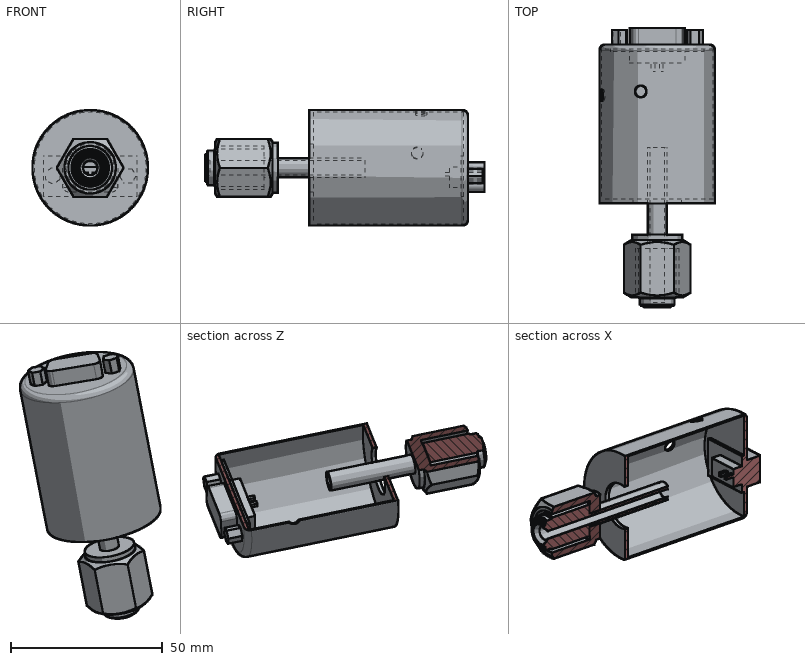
import cadquery as cq
import math

OVERALL_LENGTH = 92.1

HOUSING_RADIUS = 19.1
HOUSING_LENGTH = 52.3
REAR_EDGE_FILLET = 2.0
END_WALL = 1.5
SIDE_WALL = 0.6
MOUTH_RADIUS = 7.9

RADIAL_HOLE_DIAMETER = 3.9
RADIAL_HOLES = [
    (106.8, 15.5),
    (164.9, 16.8),
]

CONNECTOR_Z = -3.0
SHELL_LENGTH = 5.4
SHELL_WIDTH = 18.15
SHELL_HEIGHT = 9.9
SHELL_CORNER_RADIUS = 2.1
SHELL_SLANT = 8.0
STANDOFF_LENGTH = 4.8
STANDOFF_ACROSS_FLATS = 4.7
STANDOFF_SPACING = 24.8
STANDOFF_Z = -2.7
LEFT_STANDOFF_TURN = 37.0
RIGHT_STANDOFF_TURN = 0.0

FLANGE_WIDTH = 30.8
FLANGE_HEIGHT = 13.45
FLANGE_Z = -2.8
FLANGE_THICKNESS = 0.9
INSERT_HEIGHT = 6.7
INSERT_THICKNESS = 3.7
TERMINAL_SIZE = 1.2
TERMINAL_LENGTH = 2.8
TERMINAL_PITCH = 2.8
TERMINAL_TOP_Z = -1.6

TUBE_RADIUS = 3.18
TUBE_BORE_RADIUS = 2.35
TUBE_DEPTH_IN_HOUSING = 18.4
GLAND_BACK_RADIUS = 6.2
GLAND_RADIUS = 5.76
GLAND_CHAMFER = 0.5
GLAND_TAPER_LENGTH = 0.4
LIP_HEIGHT = 0.6
LIP_RADIUS = 4.6
LIP_CHAMFER = 0.5
MOUTH_CONE_RADIUS = 3.5
MOUTH_CONE_DEPTH = 1.7

NUT_ACROSS_FLATS = 19.1
NUT_LENGTH = 20.6
NUT_GAP_TO_HOUSING = 10.3
COLLAR_RADIUS = 8.3
COLLAR_LENGTH = 1.75
HEX_FACE_RADIUS = 8.5
HEX_CHAMFER_LENGTH = 1.6
NUT_BORE_RADIUS = 7.2
NUT_SHOULDER_THICKNESS = 4.6

REAR_INNER_Y = HOUSING_LENGTH - END_WALL
NUT_BACK_Y = -NUT_GAP_TO_HOUSING
NUT_FACE_Y = NUT_BACK_Y - NUT_LENGTH
NUT_SHOULDER_Y = NUT_BACK_Y - NUT_SHOULDER_THICKNESS
GLAND_TIP_Y = HOUSING_LENGTH + SHELL_LENGTH - OVERALL_LENGTH
GLAND_FACE_Y = GLAND_TIP_Y + LIP_HEIGHT


def circumradius(across_flats):
    """Corner radius of a hexagon."""
    return across_flats / math.sqrt(3)


def section_plane(y, x=0.0, z=0.0):
    """Work plane facing -Y, with local x along +X and local y along +Z."""
    return cq.Workplane(cq.Plane(origin=(x, y, z), xDir=(1, 0, 0), normal=(0, -1, 0)))


def cylinder(radius, y_low, y_high):
    return section_plane(y_high).circle(radius).extrude(y_high - y_low)


def block(width, height, thickness, y_high, x, z):
    return section_plane(y_high, x, z).rect(width, height).extrude(thickness)


def hexagon(across_flats, y_low, y_high, x=0.0, z=0.0, turn=0.0):
    """Hexagonal prism along Y; at zero turn two corners point along X."""
    prism = section_plane(y_high, x, z).polygon(6, 2 * circumradius(across_flats)).extrude(y_high - y_low)
    return prism.rotate((x, 0, z), (x, -1, z), turn)


def make_can():
    can = cylinder(HOUSING_RADIUS, 0, HOUSING_LENGTH).faces(">Y").edges().fillet(REAR_EDGE_FILLET)
    can = can.cut(cylinder(HOUSING_RADIUS - SIDE_WALL, END_WALL, REAR_INNER_Y))
    can = can.cut(cylinder(MOUTH_RADIUS, 0, END_WALL))
    for angle, rear_distance in RADIAL_HOLES:
        direction = cq.Vector(math.cos(math.radians(angle)), 0, math.sin(math.radians(angle)))
        start = cq.Vector(0, HOUSING_LENGTH - rear_distance, 0)
        drill = cq.Solid.makeCylinder(RADIAL_HOLE_DIAMETER / 2, HOUSING_RADIUS, start, direction)
        can = can.cut(cq.Workplane(drill))
    return can


def make_shell():
    """D-shaped prism: a rounded trapezoid, wide at the bottom."""
    half_height = SHELL_HEIGHT / 2
    slant = math.radians(SHELL_SLANT)
    arc_to_corner = SHELL_CORNER_RADIUS * math.tan((math.pi / 2 + slant) / 2)
    bottom_half = SHELL_WIDTH / 2 - SHELL_CORNER_RADIUS + arc_to_corner
    top_half = bottom_half - SHELL_HEIGHT * math.tan(slant)
    outline = section_plane(HOUSING_LENGTH + SHELL_LENGTH, 0, CONNECTOR_Z).polyline([
        (-bottom_half, -half_height),
        (bottom_half, -half_height),
        (top_half, half_height),
        (-top_half, half_height),
    ]).close()
    return outline.extrude(SHELL_LENGTH).edges("|Y").fillet(SHELL_CORNER_RADIUS)


def make_housing():
    housing = make_can().union(make_shell())
    for side, turn in ((-1, LEFT_STANDOFF_TURN), (1, RIGHT_STANDOFF_TURN)):
        housing = housing.union(hexagon(
            STANDOFF_ACROSS_FLATS, HOUSING_LENGTH, HOUSING_LENGTH + STANDOFF_LENGTH,
            side * STANDOFF_SPACING / 2, STANDOFF_Z, turn))
    insert_y = REAR_INNER_Y - FLANGE_THICKNESS
    terminal_y = insert_y - INSERT_THICKNESS
    housing = housing.union(
        block(FLANGE_WIDTH, FLANGE_HEIGHT, FLANGE_THICKNESS, REAR_INNER_Y, 0, FLANGE_Z))
    housing = housing.union(block(SHELL_WIDTH, INSERT_HEIGHT, INSERT_THICKNESS, insert_y, 0, CONNECTOR_Z))
    for side in (-1, 1):
        housing = housing.union(block(
            TERMINAL_SIZE, TERMINAL_SIZE, TERMINAL_LENGTH, terminal_y,
            side * TERMINAL_PITCH / 2, TERMINAL_TOP_Z - TERMINAL_SIZE / 2))
    return housing


def make_gland():
    """Tube, head and raised sealing lip, revolved from one half section (radius, Y)."""
    taper_end_y = NUT_FACE_Y - GLAND_TAPER_LENGTH
    section = (
        cq.Workplane("XY")
        .moveTo(TUBE_BORE_RADIUS, TUBE_DEPTH_IN_HOUSING)
        .lineTo(TUBE_RADIUS, TUBE_DEPTH_IN_HOUSING)
        .lineTo(TUBE_RADIUS, NUT_SHOULDER_Y)
        .lineTo(GLAND_BACK_RADIUS, NUT_SHOULDER_Y)
        .lineTo(GLAND_BACK_RADIUS, NUT_FACE_Y)
        .lineTo(GLAND_RADIUS, taper_end_y)
        .lineTo(GLAND_RADIUS, GLAND_FACE_Y + GLAND_CHAMFER)
        .lineTo(GLAND_RADIUS - GLAND_CHAMFER, GLAND_FACE_Y)
        .lineTo(LIP_RADIUS, GLAND_FACE_Y)
        .lineTo(LIP_RADIUS, GLAND_TIP_Y + LIP_CHAMFER)
        .lineTo(LIP_RADIUS - LIP_CHAMFER, GLAND_TIP_Y)
        .lineTo(MOUTH_CONE_RADIUS, GLAND_TIP_Y)
        .lineTo(TUBE_BORE_RADIUS, GLAND_TIP_Y + MOUTH_CONE_DEPTH)
        .close()
    )
    return section.revolve(360, (0, 0, 0), (0, 1, 0))


def make_nut():
    hex_back_y = NUT_BACK_Y - COLLAR_LENGTH
    corner_radius = circumradius(NUT_ACROSS_FLATS)
    envelope = (
        cq.Workplane("XY")
        .polyline([
            (0, hex_back_y),
            (HEX_FACE_RADIUS, hex_back_y),
            (corner_radius, hex_back_y - HEX_CHAMFER_LENGTH),
            (corner_radius, NUT_FACE_Y + HEX_CHAMFER_LENGTH),
            (HEX_FACE_RADIUS, NUT_FACE_Y),
            (0, NUT_FACE_Y),
        ])
        .close()
        .revolve(360, (0, 0, 0), (0, 1, 0))
    )
    nut = hexagon(NUT_ACROSS_FLATS, NUT_FACE_Y, hex_back_y).intersect(envelope)
    nut = nut.union(cylinder(COLLAR_RADIUS, hex_back_y, NUT_BACK_Y))
    nut = nut.cut(cylinder(TUBE_RADIUS, NUT_FACE_Y, NUT_BACK_Y))
    return nut.cut(cylinder(NUT_BORE_RADIUS, NUT_FACE_Y, NUT_SHOULDER_Y))


housing = make_housing()
gland = make_gland()
nut = make_nut()

result = cq.Compound.makeCompound([housing.val(), gland.val(), nut.val()])